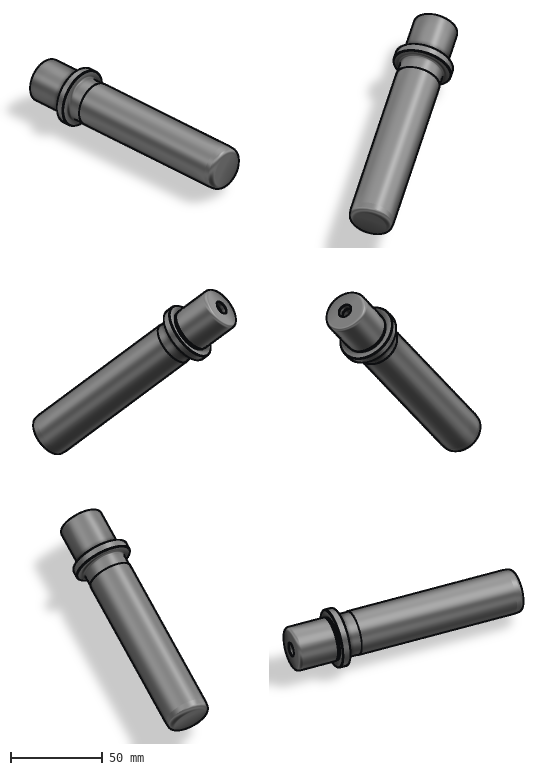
import cadquery as cq
import math

length = 134.0
shaft_radius = 12.5
flange_radius = 16.5

plug_fillet = 2.0

flange_start = 24.0
flange_end = 28.8
flange_chamfer = 0.4
undercut_start = 22.6
undercut_slope_end = 23.5
undercut_depth = 0.3
undercut_face_depth = 0.3
undercut_face_radius = 13.7

root_fillet = 1.5
neck_end = 37.0
neck_relief = 0.3

nose_taper_length = 5.1
nose_round_length = 2.3
nose_taper_drop = 0.3
nose_round_radius = 3.0

hole_radius = 2.8
hole_depth = 16.1
counterbore_radius = 3.6
counterbore_depth = 3.2
mouth_chamfer = 0.4
drill_point_angle = 118.0


def fillet_middle(center_x, center_r, radius, angle):
    """Point on a fillet arc at the given angle in degrees from the X axis."""
    turn = math.radians(angle)
    return center_x + radius * math.cos(turn), center_r + radius * math.sin(turn)


def revolve_about_axis(profile):
    return profile.close().revolve(360, (0, 0, 0), (1, 0, 0))


def make_body():
    neck_radius = shaft_radius - neck_relief
    undercut_radius = shaft_radius - undercut_depth
    plug_flat_radius = shaft_radius - plug_fillet
    root_radius = neck_radius + root_fillet
    root_end = flange_end + root_fillet
    taper_start = length - nose_taper_length
    round_start = length - nose_round_length
    round_edge_radius = shaft_radius - nose_taper_drop
    round_center_x = length - nose_round_radius
    round_start_angle = math.degrees(math.acos((round_start - round_center_x) / nose_round_radius))
    round_center_r = round_edge_radius - nose_round_radius * math.sin(math.radians(round_start_angle))
    profile = (
        cq.Workplane("XY")
        .lineTo(0, plug_flat_radius)
        .threePointArc(
            fillet_middle(plug_fillet, plug_flat_radius, plug_fillet, 135),
            (plug_fillet, shaft_radius),
        )
        .lineTo(undercut_start, shaft_radius)
        .lineTo(undercut_slope_end, undercut_radius)
        .lineTo(flange_start + undercut_face_depth, undercut_radius)
        .lineTo(flange_start, undercut_face_radius)
        .lineTo(flange_start, flange_radius - flange_chamfer)
        .lineTo(flange_start + flange_chamfer, flange_radius)
        .lineTo(flange_end - flange_chamfer, flange_radius)
        .lineTo(flange_end, flange_radius - flange_chamfer)
        .lineTo(flange_end, root_radius)
        .threePointArc(
            fillet_middle(root_end, root_radius, root_fillet, 225),
            (root_end, neck_radius),
        )
        .lineTo(neck_end, neck_radius)
        .lineTo(neck_end, shaft_radius)
        .lineTo(taper_start, shaft_radius)
        .lineTo(round_start, round_edge_radius)
        .threePointArc(
            fillet_middle(round_center_x, round_center_r, nose_round_radius, round_start_angle / 2),
            (length, round_center_r),
        )
        .lineTo(length, 0)
    )
    return revolve_about_axis(profile)


def make_hole():
    tip_depth = hole_radius / math.tan(math.radians(drill_point_angle / 2))
    profile = (
        cq.Workplane("XY")
        .lineTo(0, counterbore_radius + mouth_chamfer)
        .lineTo(mouth_chamfer, counterbore_radius)
        .lineTo(counterbore_depth, counterbore_radius)
        .lineTo(counterbore_depth, hole_radius)
        .lineTo(hole_depth, hole_radius)
        .lineTo(hole_depth + tip_depth, 0)
    )
    return revolve_about_axis(profile)


result = make_body().cut(make_hole())